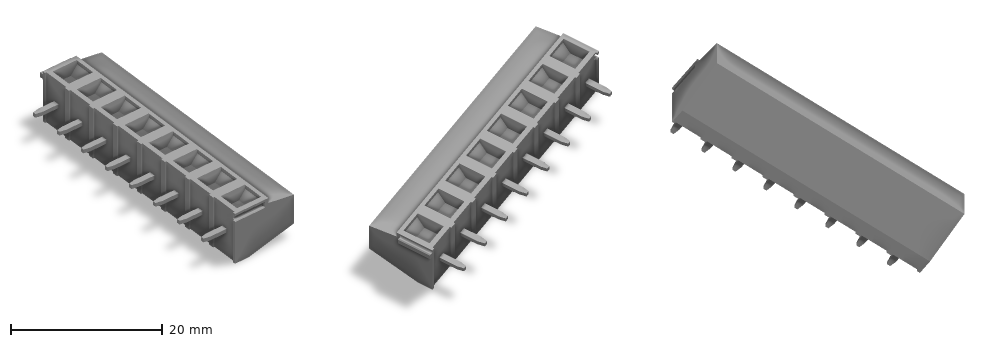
import cadquery as cq

terminal_count = 8
overall_length = 41.25
tongue_reach = 0.58
housing_length = overall_length - tongue_reach
pitch = housing_length / terminal_count

housing_depth = 10.0
housing_height = 8.2
front_y = -housing_depth
step_depth = 5.65
step_height = 0.82
rear_top = 6.75
rear_bottom = 2.02
foot_depth = 2.25

rib_width = 0.85
panel_recess = 0.25

funnel_width = 3.45
funnel_floor_width = 2.72
funnel_front = 1.0
funnel_floor_front = 1.65
funnel_floor_back = 3.8
funnel_back = 5.07
funnel_depth = 1.77
funnel_back_drop = 0.6

pin_width = 0.9
pin_thickness = 0.6
pin_length = 3.5
pin_tip_width = 0.5
pin_tip_length = 1.0
pin_height = 4.12

joint_length = funnel_back
joint_height = housing_height - 0.85
neck_height = 0.75
head_height = 1.0
mouth_flare = 0.12
tongue_tip_bevel = 0.12
tongue_head_length = 0.25
groove_depth = 0.75
groove_head_length = 0.37


def make_housing():
    profile = [
        (0, rear_bottom),
        (front_y + foot_depth, 0),
        (front_y, 0),
        (front_y, housing_height),
        (front_y + step_depth, housing_height),
        (front_y + step_depth, housing_height - step_height),
        (0, rear_top),
    ]
    return cq.Workplane("YZ").polyline(profile).close().extrude(housing_length)


def make_panel(center_x):
    return (
        cq.Workplane("XY")
        .box(pitch - rib_width, panel_recess, housing_height, centered=(True, False, False))
        .translate((center_x, front_y, 0))
    )


def make_funnel(center_x):
    """Funnel with sloping sides and front, and a rear wall that starts upright."""
    floor_z = housing_height - funnel_depth
    side_profile = [
        (front_y + funnel_front, housing_height),
        (front_y + funnel_floor_front, floor_z),
        (front_y + funnel_floor_back, floor_z),
        (front_y + funnel_back, housing_height - funnel_back_drop),
        (front_y + funnel_back, housing_height),
    ]
    front_profile = [
        (center_x - funnel_width / 2, housing_height),
        (center_x - funnel_floor_width / 2, floor_z),
        (center_x + funnel_floor_width / 2, floor_z),
        (center_x + funnel_width / 2, housing_height),
    ]
    along_x = cq.Workplane("YZ").polyline(side_profile).close().extrude(housing_length)
    along_y = cq.Workplane("XZ").polyline(front_profile).close().extrude(housing_depth)
    return along_x.intersect(along_y)


def make_pin(center_x):
    """Flat pin with a tapered tip, rooted in the recessed panel."""
    root_y = front_y + panel_recess
    tip_y = front_y - pin_length
    taper_y = tip_y + pin_tip_length
    outline = [
        (center_x - pin_width / 2, root_y),
        (center_x - pin_width / 2, taper_y),
        (center_x - pin_tip_width / 2, tip_y),
        (center_x + pin_tip_width / 2, tip_y),
        (center_x + pin_width / 2, taper_y),
        (center_x + pin_width / 2, root_y),
    ]
    return (
        cq.Workplane("XY")
        .workplane(offset=pin_height - pin_thickness / 2)
        .polyline(outline)
        .close()
        .extrude(pin_thickness)
    )


def extrude_joint(upper_half):
    """Mirror a half outline about the joint's mid-height and run it back from the front face."""
    lower_half = [(x, -z) for x, z in reversed(upper_half)]
    outline = [(x, joint_height + z) for x, z in upper_half + lower_half]
    return (
        cq.Workplane("XZ", origin=(0, front_y, 0))
        .polyline(outline)
        .close()
        .extrude(-joint_length)
    )


def make_tongue():
    return extrude_joint([
        (0, neck_height / 2 + mouth_flare),
        (-mouth_flare, neck_height / 2),
        (-tongue_reach + tongue_head_length, neck_height / 2),
        (-tongue_reach + tongue_tip_bevel, head_height / 2),
        (-tongue_reach, neck_height / 2),
    ])


def make_groove():
    bottom_x = housing_length - groove_depth
    head_x = bottom_x + groove_head_length
    return extrude_joint([
        (housing_length, neck_height / 2 + mouth_flare),
        (housing_length - mouth_flare, neck_height / 2),
        (head_x, neck_height / 2),
        (head_x, head_height / 2),
        (bottom_x, head_height / 2),
    ])


result = make_housing()
for index in range(terminal_count):
    terminal_x = (index + 0.5) * pitch
    result = result.cut(make_panel(terminal_x)).cut(make_funnel(terminal_x))
    result = result.union(make_pin(terminal_x))
result = result.cut(make_groove()).union(make_tongue())